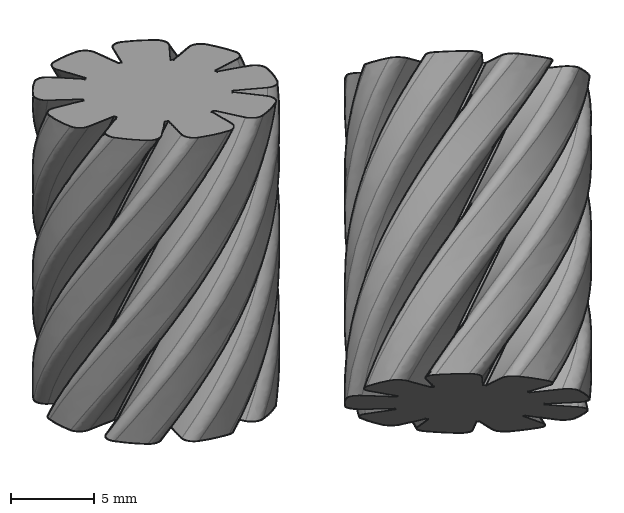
import cadquery as cq
import math

outer_diameter = 14.84
length = 20.0
groove_count = 9
twist_angle = 120.0
groove_floor_radius = 4.6
groove_floor_width = 0.2
groove_flank_angle = 13.8
lip_fillet = 0.8
cutter_overrun = 1.0

outer_radius = outer_diameter / 2
groove_pitch_angle = 360.0 / groove_count
cutter_reach = outer_radius + cutter_overrun


def groove_outline():
    """Points of one tapered groove, opening outward along +X."""
    floor_half = groove_floor_width / 2
    flare = (cutter_reach - groove_floor_radius) * math.tan(math.radians(groove_flank_angle))
    mouth_half = floor_half + flare
    return [
        (groove_floor_radius, -floor_half),
        (cutter_reach, -mouth_half),
        (cutter_reach, mouth_half),
        (groove_floor_radius, floor_half),
    ]


def cross_section():
    """Round section with evenly spaced grooves and rounded groove lips."""
    blank = cq.Workplane("XY").circle(outer_radius).extrude(length)
    groove = cq.Workplane("XY").polyline(groove_outline()).close().extrude(length)
    for index in range(groove_count):
        blank = blank.cut(groove.rotate((0, 0, 0), (0, 0, 1), index * groove_pitch_angle))

    lip_limit = (outer_radius + groove_floor_radius) / 2
    lips = blank.edges("|Z").filter(lambda e: math.hypot(e.Center().x, e.Center().y) > lip_limit)
    rounded = blank.newObject(lips.vals()).fillet(lip_fillet)
    return rounded.faces("<Z").wires().val()


def twisted_body():
    """Section twisted along the axis, with one groove facing +X at the top end."""
    outline = cq.Workplane("XY").add(cross_section()).toPending()
    body = outline.twistExtrude(length, twist_angle)
    return body.rotate((0, 0, 0), (0, 0, 1), -twist_angle)


result = twisted_body()